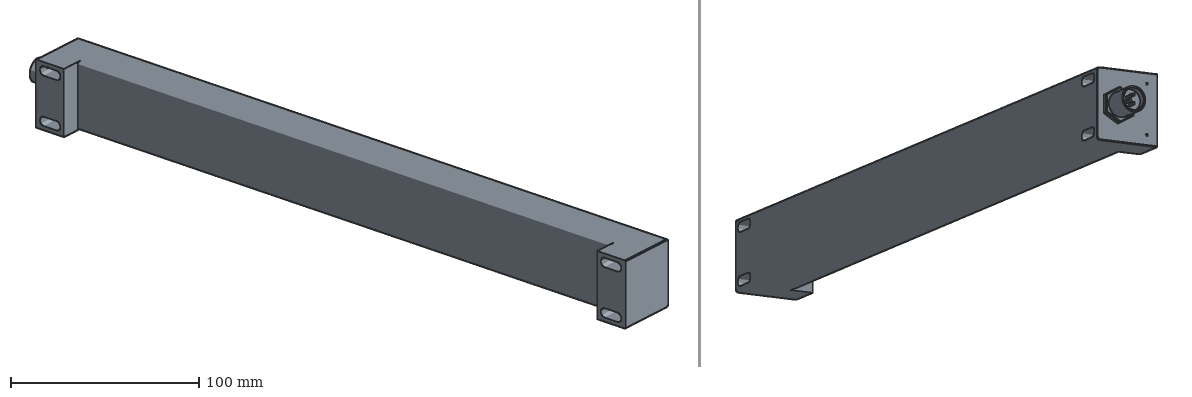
import cadquery as cq

length = 405.0
depth = 36.5
height = 40.0
foot_length = 19.5
bar_depth = 25.0
bar_edge_radius = 2.0
end_chamfer = 0.5

slot_length = 14.0
slot_width = 5.5
slot_end_offset = 10.0
slot_spacing = 29.5

side_hole_diameter = 1.0
side_hole_front_offset = 6.25
side_hole_spacing = 28.0

connector_back_offset = 12.5
barrel_length = 18.0
barrel_diameter = 14.0
socket_diameter = 12.0
socket_depth = 4.0
nut_across_flats = 17.0
nut_thickness = 3.0
nut_bevel = 0.5

pin_diameter = 1.5
pin_length = socket_depth
pin_circle_radius = 2.4
pin_count = 4
pin_start_angle = -90.0
pin_spread_angle = 180.0

connector_y = depth - connector_back_offset
bar_front_y = depth - bar_depth


def box_between(x_start, x_end, y_start, y_end):
    """Block of full height, centred on Z = 0."""
    size = (x_end - x_start, y_end - y_start, height)
    centre = ((x_start + x_end) / 2, (y_start + y_end) / 2, 0)
    return cq.Workplane("XY").box(*size).translate(centre)


def cylinder_along_x(x_start, x_length, diameter, y, z):
    return cq.Workplane("YZ", origin=(x_start, y, z)).circle(diameter / 2).extrude(x_length)


def housing():
    """Round-edged bar with a square-fronted foot at each end."""
    bar = box_between(foot_length, length - foot_length, bar_front_y, depth)
    bar = bar.edges("|X").fillet(bar_edge_radius)
    foot = box_between(0, foot_length, 0, depth).edges("|X and >Y").fillet(bar_edge_radius)
    foot = foot.faces("<X").edges("not <Y").chamfer(end_chamfer)
    opposite_foot = foot.mirror("YZ").translate((length, 0, 0))
    return bar.union(foot).union(opposite_foot)


def mounting_slots():
    places = [
        (x, side * slot_spacing / 2)
        for x in (slot_end_offset, length - slot_end_offset)
        for side in (-1, 1)
    ]
    return cq.Workplane("XZ").pushPoints(places).slot2D(slot_length, slot_width).extrude(-depth)


def side_holes():
    holes = cq.Workplane("YZ").pushPoints(
        [(side_hole_front_offset, side * side_hole_spacing / 2) for side in (-1, 1)]
    )
    return holes.circle(side_hole_diameter / 2).extrude(slot_end_offset)


def nut():
    """Hexagon with two corners pointing along Z and a bevel around its outer face."""
    hexagon = (
        cq.Workplane("YZ", origin=(0, connector_y, 0))
        .polygon(6, nut_across_flats, circumscribed=True)
        .extrude(-nut_thickness)
    )
    return hexagon.faces("<X").chamfer(nut_bevel)


def connector():
    barrel = cylinder_along_x(-barrel_length, barrel_length, barrel_diameter, connector_y, 0)
    socket = cylinder_along_x(-barrel_length, socket_depth, socket_diameter, connector_y, 0)
    pins = (
        cq.Workplane("YZ", origin=(socket_depth - barrel_length, connector_y, 0))
        .polarArray(pin_circle_radius, pin_start_angle, pin_spread_angle, pin_count)
        .circle(pin_diameter / 2)
        .extrude(-pin_length)
    )
    return barrel.union(nut()).cut(socket).union(pins)


result = housing().union(connector()).cut(mounting_slots()).cut(side_holes())